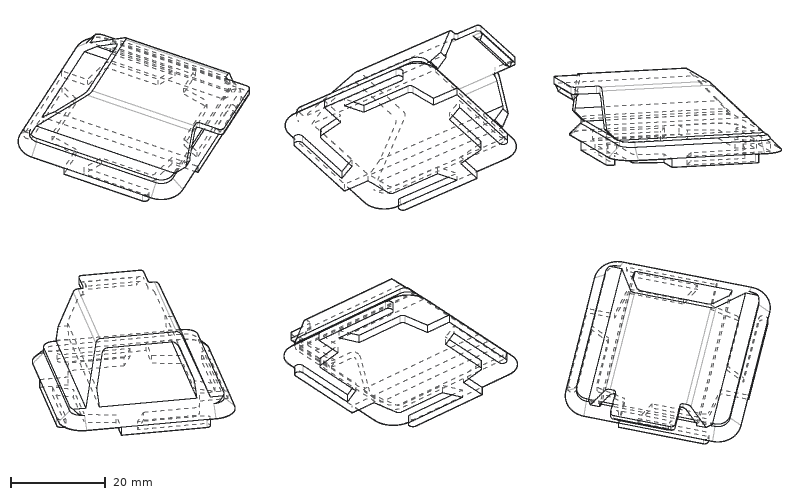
import cadquery as cq
import math

BASE_SIDE = 38.0
HALF_BASE = BASE_SIDE / 2
TOTAL_HEIGHT = 16.1
TOTAL_LENGTH = 44.0

PAD_HEIGHT = 1.85
LIP_THICKNESS = 0.1
SKIRT_INSET = 2.38
CORNER_RADIUS = 5.05
LEDGE_HEIGHT = 5.4
LIP_TOP = PAD_HEIGHT + LIP_THICKNESS

WALL_LEAN = math.tan(math.radians(22.5))
HOOD_HALF_WIDTH = 13.4
HOOD_EDGE_RADIUS = 1.1
ROOF_THICKNESS = 1.55
ROOF_UNDERSIDE = TOTAL_HEIGHT - ROOF_THICKNESS
CAVITY_HALF_WIDTH = 10.5
CAVITY_KNEE_HEIGHT = 8.3
CAVITY_RADIUS = 1.5
REAR_CHAMFER = 2.1

TAB_HALF_WIDTH = 7.0
TAB_CORNER_RADIUS = 0.8
TAB_ROOT_RADIUS = 0.55
TAB_END = TOTAL_LENGTH - HALF_BASE
CATCH_HALF_WIDTH = 5.5
CATCH_DEPTH = 1.5
CATCH_FLARE = 0.55
CATCH_START = 2.2
CATCH_TIP = 0.7
CATCH_END = 0.15

ARM_THICKNESS = 2.0
ARM_ROOT = -6.45
ARM_TIP = 12.95
HUB_REACH = 12.95
HUB_CORNER = 11.55
HUB_CORNER_RADIUS = 0.85
SLOT_END = -2.65
SLOT_END_SLANT = 2.1


def square_prism(bottom, height, side, radius):
    return (
        cq.Workplane("XY").workplane(offset=bottom)
        .rect(side, side).extrude(height)
        .edges("|Z").fillet(radius)
    )


def make_flange():
    lip = square_prism(PAD_HEIGHT, LIP_THICKNESS, BASE_SIDE, CORNER_RADIUS)
    skirt = (
        cq.Workplane("XY").workplane(offset=LIP_TOP)
        .sketch().rect(BASE_SIDE, BASE_SIDE).vertices().fillet(CORNER_RADIUS).finalize()
        .extrude(SKIRT_INSET, taper=45)
    )
    plinth = square_prism(
        LIP_TOP, LEDGE_HEIGHT - LIP_TOP,
        BASE_SIDE - 2 * SKIRT_INSET, CORNER_RADIUS - SKIRT_INSET,
    )
    return lip.union(skirt).union(plinth)


def along_x(points):
    """Extrude a (Y, Z) outline along the whole base."""
    return (
        cq.Workplane("YZ").workplane(offset=-HALF_BASE)
        .polyline(points).close().extrude(BASE_SIDE)
    )


def make_hood():
    top_half = HOOD_HALF_WIDTH - WALL_LEAN * (TOTAL_HEIGHT - LEDGE_HEIGHT)
    hood = along_x([
        (-HOOD_HALF_WIDTH, LEDGE_HEIGHT), (HOOD_HALF_WIDTH, LEDGE_HEIGHT),
        (top_half, TOTAL_HEIGHT), (-top_half, TOTAL_HEIGHT),
    ]).edges("|X and >Z").fillet(HOOD_EDGE_RADIUS)
    rear_chamfer = (
        cq.Workplane("XZ")
        .moveTo(HALF_BASE, LEDGE_HEIGHT)
        .lineTo(HALF_BASE, LEDGE_HEIGHT + REAR_CHAMFER)
        .lineTo(HALF_BASE - REAR_CHAMFER, LEDGE_HEIGHT)
        .close().extrude(HALF_BASE, both=True)
    )
    return hood.cut(rear_chamfer)


def make_cavity():
    top_half = CAVITY_HALF_WIDTH - WALL_LEAN * (ROOF_UNDERSIDE - CAVITY_KNEE_HEIGHT)
    return along_x([
        (-CAVITY_HALF_WIDTH, LEDGE_HEIGHT), (CAVITY_HALF_WIDTH, LEDGE_HEIGHT),
        (CAVITY_HALF_WIDTH, CAVITY_KNEE_HEIGHT), (top_half, ROOF_UNDERSIDE),
        (-top_half, ROOF_UNDERSIDE), (-CAVITY_HALF_WIDTH, CAVITY_KNEE_HEIGHT),
    ]).edges("|X and >Z").fillet(CAVITY_RADIUS)


def make_front_cut():
    """Wedge removed above the 45-degree front plane, which continues the skirt."""
    rise = TOTAL_HEIGHT - LIP_TOP
    return (
        cq.Workplane("XZ")
        .moveTo(-HALF_BASE, LIP_TOP)
        .lineTo(-HALF_BASE + rise, TOTAL_HEIGHT)
        .lineTo(-HALF_BASE, TOTAL_HEIGHT)
        .close().extrude(HALF_BASE, both=True)
    )


def make_tab():
    root_half = TAB_HALF_WIDTH + TAB_ROOT_RADIUS
    neck = HALF_BASE + TAB_ROOT_RADIUS
    tab_inside = HALF_BASE - ROOF_THICKNESS
    return (
        cq.Workplane("XY").workplane(offset=ROOF_UNDERSIDE)
        .moveTo(tab_inside, -root_half)
        .lineTo(HALF_BASE, -root_half)
        .radiusArc((neck, -TAB_HALF_WIDTH), TAB_ROOT_RADIUS)
        .lineTo(TAB_END, -TAB_HALF_WIDTH)
        .lineTo(TAB_END, TAB_HALF_WIDTH)
        .lineTo(neck, TAB_HALF_WIDTH)
        .radiusArc((HALF_BASE, root_half), TAB_ROOT_RADIUS)
        .lineTo(tab_inside, root_half)
        .close().extrude(ROOF_THICKNESS)
        .edges("|Z and >X").fillet(TAB_CORNER_RADIUS)
    )


def make_catch():
    """Wedge-shaped catch whose ends flare out where they meet the tab."""
    tip_height = ROOF_UNDERSIDE - CATCH_DEPTH
    flared_half = CATCH_HALF_WIDTH + CATCH_FLARE
    flare_height = ROOF_UNDERSIDE - CATCH_FLARE
    wedge = (
        cq.Workplane("XZ")
        .moveTo(TAB_END - CATCH_START, ROOF_UNDERSIDE)
        .lineTo(TAB_END - CATCH_TIP, tip_height)
        .lineTo(TAB_END - CATCH_END, ROOF_UNDERSIDE)
        .close().extrude(flared_half, both=True)
    )
    end_shape = (
        cq.Workplane("YZ").workplane(offset=HALF_BASE)
        .moveTo(-flared_half, ROOF_UNDERSIDE)
        .radiusArc((-CATCH_HALF_WIDTH, flare_height), CATCH_FLARE)
        .lineTo(-CATCH_HALF_WIDTH, tip_height)
        .lineTo(CATCH_HALF_WIDTH, tip_height)
        .lineTo(CATCH_HALF_WIDTH, flare_height)
        .radiusArc((flared_half, ROOF_UNDERSIDE), CATCH_FLARE)
        .close().extrude(TAB_END - HALF_BASE)
    )
    return wedge.intersect(end_shape)


def make_locking_pad():
    """Hub with four arms in a pinwheel, each free at one end and divided off by a slot."""
    arm_inside = HALF_BASE - ARM_THICKNESS
    arm_radius = ARM_THICKNESS / 2
    quarter = (
        cq.Workplane("XY")
        .moveTo(0, 0)
        .lineTo(-HUB_REACH, ARM_ROOT)
        .lineTo(-HUB_REACH, -HUB_CORNER)
        .lineTo(ARM_ROOT, -HUB_REACH)
        .lineTo(ARM_ROOT, -HALF_BASE)
        .lineTo(ARM_TIP - arm_radius, -HALF_BASE)
        .radiusArc((ARM_TIP - arm_radius, -arm_inside), -arm_radius)
        .lineTo(SLOT_END, -arm_inside)
        .lineTo(SLOT_END + SLOT_END_SLANT, -HUB_REACH)
        .lineTo(-ARM_ROOT, -HUB_REACH)
        .close().extrude(PAD_HEIGHT)
        .edges(cq.selectors.NearestToPointSelector((-HUB_REACH, -HUB_CORNER, PAD_HEIGHT / 2)))
        .fillet(HUB_CORNER_RADIUS)
    )
    pad = quarter
    for turn in (90, 180, 270):
        pad = pad.union(quarter.rotate((0, 0, 0), (0, 0, 1), turn))
    return pad


shell = make_flange().union(make_hood()).cut(make_cavity()).cut(make_front_cut())
result = shell.union(make_tab()).union(make_catch()).union(make_locking_pad())